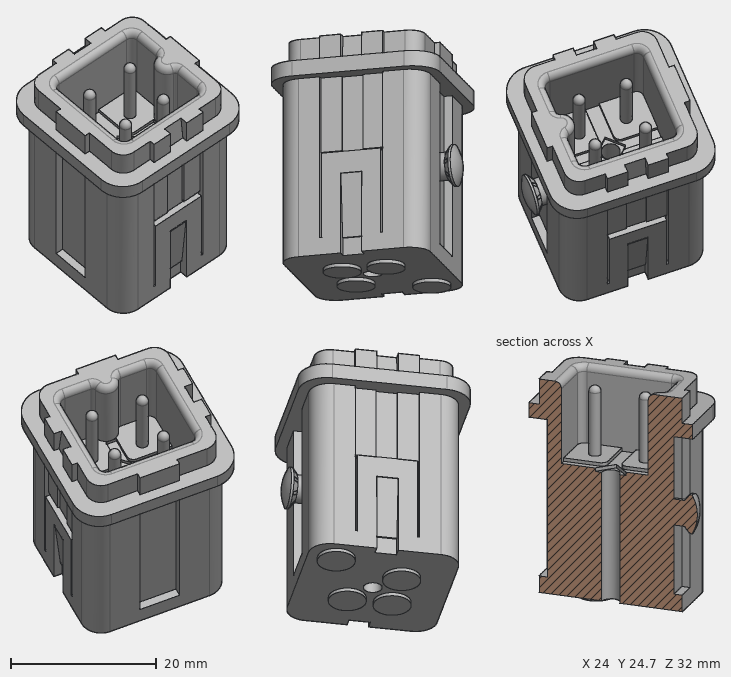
import cadquery as cq

FULL_TURN = 360

BODY_SIZE = 21.0
BODY_CORNER = 3.0
FLANGE_SIZE = 24.0
FLANGE_CORNER = 4.0
FLANGE_BOTTOM = 25.6
FLANGE_TOP = 27.8
RIM_TOP = 31.5
RIM_INSET = 0.8
BODY_HALF = BODY_SIZE / 2
RIM_HALF = BODY_HALF - RIM_INSET
RIM_CORNER = BODY_CORNER - RIM_INSET

TAB_WIDTH_Y_SIDES = 6.0
TAB_WIDTH_X_SIDES = 9.0
NOTCH_WIDTH = 3.0
NOTCH_TOP_DEPTH = 1.2
POCKET_DEPTH = 1.2
POCKET_BOTTOM = 2.5

GROOVE_DEPTH = 0.6
CHANNEL_DEPTH = 0.95
GROOVE_BOTTOM = 14.9
SLIT_WIDTH = 0.3
SLIT_BOTTOM = 2.5
WEDGE_TOP = 11.5
WEDGE_TOP_DEPTH = 0.15
WEDGE_BOTTOM_DEPTH = 1.0
FOOT_DEPTH = 1.25

CAVITY_SIZE = 14.4
CAVITY_CORNER = 1.0
CAVITY_FLOOR = 20.0
LIP_ROUND = 1.0
KEY_RADIUS = 1.8
KEY_Y = 7.25
KEY_BLEND = 0.5

CROSS_WIDTH_X = 1.6
CROSS_WIDTH_Y = 2.1
CROSS_DEPTH = 0.5
CROSS_BLEND = 1.0
DIAMOND_HALF_DIAGONAL = 2.2
DIAMOND_DEPTH = 0.5
HOLE_DIAMETER = 2.6

PIN_RADIUS = 0.85
PIN_TIP = 30.1
PIN_CENTERS = [(3.7, 3.25), (3.7, -3.7), (-3.7, -3.7), (-3.7, 3.7)]

PAD_RADIUS = 2.62
PAD_HEIGHT = 0.5
PAD_CENTERS = [(3.37, 2.9), (3.37, -3.38), (-3.37, -3.38), (-6.78, 6.45)]

SCREW_Z = 14.55
SCREW_TIP_Y = 12.74
HEAD_RADIUS = 2.9
HEAD_EDGE_FRONT_Y = 11.95
HEAD_EDGE_BACK_Y = 11.6
NECK_RADIUS = 1.95
NECK_Y = 10.85
SCREW_EMBEDDED_LENGTH = 1.0
SCREW_ROOT_Y = BODY_HALF - POCKET_DEPTH - SCREW_EMBEDDED_LENGTH
RIB_COUNT = 8
RIB_WIDTH = 0.5
RIB_STANDOUT = 0.12


def block(x_range, y_range, z_range):
    """Axis-aligned box between two limits along each axis."""
    limits = (x_range, y_range, z_range)
    lengths = [high - low for low, high in limits]
    corner = tuple(low for low, high in limits)
    return cq.Workplane("XY").box(*lengths, centered=False).translate(corner)


def rounded_column(size, corner, z_low, z_high):
    """Square column about the Z axis with rounded upright edges."""
    column = cq.Workplane("XY").workplane(offset=z_low).rect(size, size).extrude(z_high - z_low)
    return column.edges("|Z").fillet(corner)


def both_sides(shape, plane):
    """The shape together with its mirror image."""
    return shape.union(shape.mirror(plane))


def make_shell():
    body = rounded_column(BODY_SIZE, BODY_CORNER, 0, FLANGE_BOTTOM)
    flange = rounded_column(FLANGE_SIZE, FLANGE_CORNER, FLANGE_BOTTOM, FLANGE_TOP)
    rim = rounded_column(2 * RIM_HALF, RIM_CORNER, FLANGE_TOP, RIM_TOP)
    return body.union(flange).union(rim)


def make_tabs():
    """Four guide tabs that bring the rim out to the body faces."""
    half_x = TAB_WIDTH_X_SIDES / 2
    half_y = TAB_WIDTH_Y_SIDES / 2
    heights = (FLANGE_TOP, RIM_TOP)
    along_x = block((-BODY_HALF, BODY_HALF), (-half_x, half_x), heights)
    along_y = block((-half_y, half_y), (-BODY_HALF, BODY_HALF), heights)
    return along_x.union(along_y)


def make_tab_notches():
    """Notches splitting the X-side tabs, with a floor leaning inward towards the top."""
    notch = (
        cq.Workplane("XZ")
        .moveTo(-BODY_HALF, FLANGE_TOP)
        .lineTo(-RIM_HALF, FLANGE_TOP)
        .lineTo(-BODY_HALF + NOTCH_TOP_DEPTH, RIM_TOP)
        .lineTo(-BODY_HALF, RIM_TOP)
        .close()
        .extrude(NOTCH_WIDTH / 2, both=True)
    )
    return both_sides(notch, "YZ")


def make_side_pockets():
    """Plain pockets under the flange on the two Y sides."""
    half = TAB_WIDTH_Y_SIDES / 2
    pocket = block((-half, half), (-BODY_HALF, -BODY_HALF + POCKET_DEPTH), (POCKET_BOTTOM, FLANGE_BOTTOM))
    return both_sides(pocket, "XZ")


def make_latch_recesses():
    """Stepped groove, slit around the latch tongue and wedge-shaped slot on the two X sides."""
    half = TAB_WIDTH_X_SIDES / 2
    half_notch = NOTCH_WIDTH / 2
    tongue_half = half - SLIT_WIDTH
    tongue_top = GROOVE_BOTTOM - SLIT_WIDTH
    deep = (-BODY_HALF, -BODY_HALF + CHANNEL_DEPTH)
    shallow = (-BODY_HALF, -BODY_HALF + GROOVE_DEPTH)

    groove = block(shallow, (-half, half), (GROOVE_BOTTOM, FLANGE_BOTTOM))
    channel = block(deep, (-half_notch, half_notch), (GROOVE_BOTTOM, FLANGE_BOTTOM))
    slit = block(deep, (-half, half), (SLIT_BOTTOM, GROOVE_BOTTOM))
    tongue = block(deep, (-tongue_half, tongue_half), (SLIT_BOTTOM, tongue_top))
    slot = (
        cq.Workplane("XZ")
        .moveTo(-BODY_HALF, 0)
        .lineTo(-BODY_HALF + FOOT_DEPTH, 0)
        .lineTo(-BODY_HALF + FOOT_DEPTH, SLIT_BOTTOM)
        .lineTo(-BODY_HALF + WEDGE_BOTTOM_DEPTH, SLIT_BOTTOM)
        .lineTo(-BODY_HALF + WEDGE_TOP_DEPTH, WEDGE_TOP)
        .lineTo(-BODY_HALF, WEDGE_TOP)
        .close()
        .extrude(half_notch, both=True)
    )
    recess = groove.union(channel).union(slit.cut(tongue)).union(slot)
    return both_sides(recess, "YZ")


def make_pads():
    pads = cq.Workplane("XY").pushPoints(PAD_CENTERS).circle(PAD_RADIUS)
    return pads.extrude(-PAD_HEIGHT)


def cut_cavity(part):
    """Sink the contact cavity, leaving a round key on its +Y wall, and round its lip."""
    height = RIM_TOP - CAVITY_FLOOR
    cavity = rounded_column(CAVITY_SIZE, CAVITY_CORNER, CAVITY_FLOOR, RIM_TOP)
    key = (
        cq.Workplane("XY")
        .workplane(offset=CAVITY_FLOOR)
        .center(0, KEY_Y)
        .circle(KEY_RADIUS)
        .extrude(height)
    )
    cavity = cavity.cut(key)
    key_reach = KEY_RADIUS + KEY_BLEND
    key_corners = cq.selectors.BoxSelector(
        (-key_reach, CAVITY_SIZE / 2 - KEY_BLEND, CAVITY_FLOOR),
        (key_reach, CAVITY_SIZE / 2 + KEY_BLEND, RIM_TOP),
    )
    cavity = cavity.edges("|Z").edges(key_corners).fillet(KEY_BLEND)
    part = part.cut(cavity)
    lip_reach = CAVITY_SIZE / 2 + LIP_ROUND
    lip = cq.selectors.BoxSelector(
        (-lip_reach, -lip_reach, RIM_TOP - LIP_ROUND / 2),
        (lip_reach, lip_reach, RIM_TOP + LIP_ROUND / 2),
        boundingbox=True,
    )
    return part.edges(lip).fillet(LIP_ROUND)


def make_floor_recess():
    """Cross-shaped recess in the cavity floor with a diamond sink and a hole in its middle."""
    cross_bottom = CAVITY_FLOOR - CROSS_DEPTH
    half = CAVITY_SIZE / 2
    half_x = CROSS_WIDTH_X / 2
    half_y = CROSS_WIDTH_Y / 2
    heights = (cross_bottom, CAVITY_FLOOR)
    inner_corners = cq.selectors.BoxSelector(
        (-half_x - CROSS_BLEND, -half_y - CROSS_BLEND, cross_bottom),
        (half_x + CROSS_BLEND, half_y + CROSS_BLEND, CAVITY_FLOOR),
    )
    key_bottom = KEY_Y - KEY_RADIUS
    cross = (
        block((-half_x, half_x), (-half, key_bottom), heights)
        .union(block((-half, half), (-half_y, half_y), heights))
        .edges("|Z")
        .edges(inner_corners)
        .fillet(CROSS_BLEND)
    )
    diamond = (
        cq.Workplane("XY")
        .workplane(offset=cross_bottom)
        .polyline([
            (DIAMOND_HALF_DIAGONAL, 0),
            (0, DIAMOND_HALF_DIAGONAL),
            (-DIAMOND_HALF_DIAGONAL, 0),
            (0, -DIAMOND_HALF_DIAGONAL),
        ])
        .close()
        .extrude(-DIAMOND_DEPTH)
    )
    hole = cq.Workplane("XY").circle(HOLE_DIAMETER / 2).extrude(cross_bottom)
    return cross.union(diamond).union(hole)


def make_pins():
    """Round-ended contact pins rooted in the cavity floor."""
    shoulder = PIN_TIP - PIN_RADIUS
    root = CAVITY_FLOOR - CROSS_DEPTH
    pin = (
        cq.Workplane("XZ")
        .moveTo(0, root)
        .lineTo(PIN_RADIUS, root)
        .lineTo(PIN_RADIUS, shoulder)
        .radiusArc((0, PIN_TIP), -PIN_RADIUS)
        .close()
        .revolve(FULL_TURN, (0, 0, 0), (0, 1, 0))
    )
    pins = cq.Workplane("XY")
    for x, y in PIN_CENTERS:
        pins = pins.union(pin.translate((x, y, 0)))
    return pins


def make_screw():
    """Domed screw head on a conical underside with radial ribs, along the Y axis."""
    rise = SCREW_TIP_Y - HEAD_EDGE_FRONT_Y
    dome_radius = (HEAD_RADIUS**2 + rise**2) / (2 * rise)
    screw = (
        cq.Workplane("XY")
        .moveTo(0, SCREW_ROOT_Y)
        .lineTo(NECK_RADIUS, SCREW_ROOT_Y)
        .lineTo(NECK_RADIUS, NECK_Y)
        .lineTo(HEAD_RADIUS, HEAD_EDGE_BACK_Y)
        .lineTo(HEAD_RADIUS, HEAD_EDGE_FRONT_Y)
        .radiusArc((0, SCREW_TIP_Y), -dome_radius)
        .close()
        .revolve(FULL_TURN, (0, 0, 0), (0, 1, 0))
    )
    rib_tip = HEAD_RADIUS - RIB_STANDOUT
    rib = (
        cq.Workplane("XY")
        .moveTo(0, NECK_Y)
        .lineTo(NECK_RADIUS + RIB_STANDOUT, NECK_Y)
        .lineTo(rib_tip, HEAD_EDGE_BACK_Y - RIB_STANDOUT)
        .lineTo(rib_tip, HEAD_EDGE_FRONT_Y)
        .lineTo(0, HEAD_EDGE_FRONT_Y)
        .close()
        .extrude(RIB_WIDTH / 2, both=True)
    )
    for index in range(RIB_COUNT):
        screw = screw.union(rib.rotate((0, 0, 0), (0, 1, 0), index * FULL_TURN / RIB_COUNT))
    return screw.translate((0, 0, SCREW_Z))


housing = make_shell().union(make_tabs()).cut(make_tab_notches())
housing = housing.cut(make_side_pockets()).cut(make_latch_recesses())
housing = cut_cavity(housing).cut(make_floor_recess())
result = housing.union(make_pins()).union(make_pads()).union(make_screw())